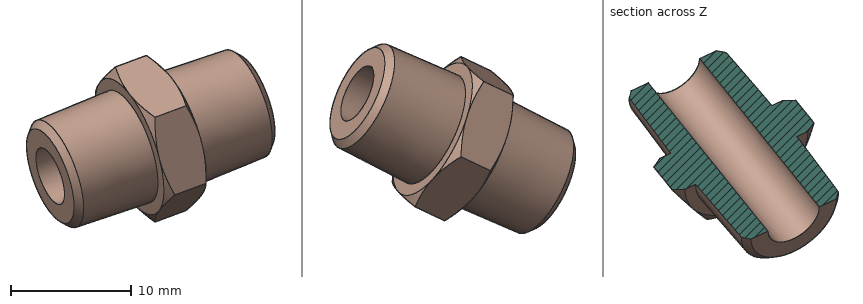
import cadquery as cq
import math

total_length = 19.0
hex_across_flats = 12.0
hex_thickness = 4.0
hex_chamfer_angle = 30.0
root_diameter = 9.94
thread_taper = 1 / 16
end_chamfer = 0.59
bore_diameter = 5.0

half_length = total_length / 2
half_hex = hex_thickness / 2
hex_corner_radius = hex_across_flats / 2 / math.cos(math.radians(30))
cone_length = half_length - half_hex - end_chamfer
root_radius = root_diameter / 2
tip_radius = root_radius - cone_length * thread_taper / 2


def revolve_about_y(points):
    """Revolve a closed (radius, y) outline about the Y axis."""
    return cq.Workplane("XY").polyline(points).close().revolve(360, (0, 0, 0), (0, 1, 0))


def make_hexagon():
    """Hexagon with corners on X, its corners turned down on both faces."""
    prism = (
        cq.Workplane("XZ")
        .polygon(6, 2 * hex_corner_radius)
        .extrude(half_hex, both=True)
    )
    face_radius = hex_across_flats / 2
    corner_drop = (hex_corner_radius - face_radius) * math.tan(math.radians(hex_chamfer_angle))
    corner_y = half_hex - corner_drop
    envelope = revolve_about_y([
        (0, -half_hex),
        (face_radius, -half_hex),
        (hex_corner_radius, -corner_y),
        (hex_corner_radius, corner_y),
        (face_radius, half_hex),
        (0, half_hex),
    ])
    return prism.intersect(envelope)


def make_spigots():
    """Two opposed tapered ends, widest at the hexagon and chamfered at the tips."""
    chamfer_start = half_length - end_chamfer
    face_radius = tip_radius - end_chamfer
    return revolve_about_y([
        (0, -half_length),
        (face_radius, -half_length),
        (tip_radius, -chamfer_start),
        (root_radius, -half_hex),
        (root_radius, half_hex),
        (tip_radius, chamfer_start),
        (face_radius, half_length),
        (0, half_length),
    ])


bore = cq.Workplane("XZ").circle(bore_diameter / 2).extrude(half_length, both=True)

result = make_hexagon().union(make_spigots()).cut(bore)